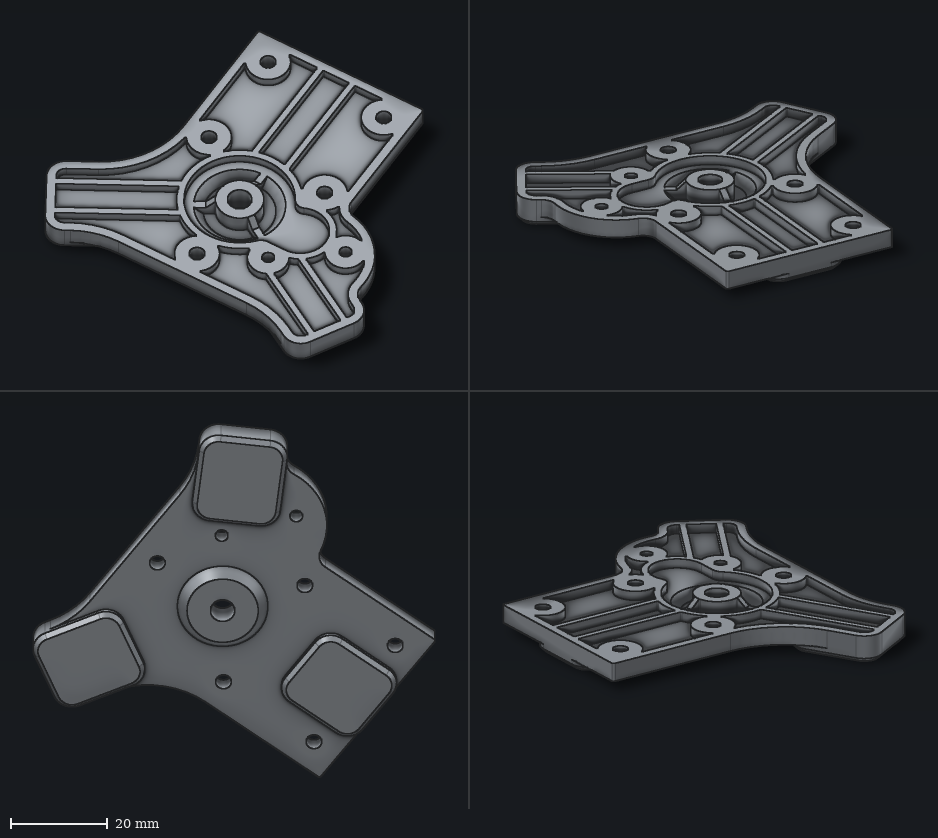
import cadquery as cq
import math

TOP_Z = 6.0
PLATE_BOTTOM_Z = 2.0
POCKET_FLOOR_Z = 4.0
DISH_FLOOR_Z = 2.0
PLATE_THICKNESS = TOP_Z - PLATE_BOTTOM_Z
POCKET_DEPTH = TOP_Z - POCKET_FLOOR_Z

ARM_ANGLES = (90, 210, 330)
ARM_REACH = 40.0
ARM_HALF_WIDTH = 9.15
ARM_CORNER_RADIUS = 4.0
PANEL_HALF_WIDTH = 20.0
PANEL_CORNER_RADIUS = 0.5
BOTTOM_EDGE_Y = -22.6
SWEEP_RADIUS = 20.0
MOTOR_LOBE_CENTRE = (19.5, -5.2)
MOTOR_LOBE_RADIUS = 14.0
MOTOR_LOBE_BLEND = 3.0
RIM_WIDTH = 2.0

PAD_LENGTH = 20.0
PAD_CHAMFER = 1.0

RIB_INNER_OFFSET = 3.1
RIB_WIDTH = 1.45
SCREW_POINTS = ((-14, 34), (14, 34), (-14, 10.7), (14, 10.7), (0, -16.8))
SCREW_HOLE_DIAMETER = 3.2
SCREW_BOSS_RADIUS = 4.65
MOTOR_SCREW_POINTS = ((25.9, -0.4), (13.05, -10.0))
MOTOR_HOLE_DIAMETER = 2.6
MOTOR_BOSS_RADIUS = 4.3
POCKET_CORNER_RADIUS = 0.2
SMALLEST_POCKET_VOLUME = 10.0

GEAR_RECESS_RADIUS = 11.5
PINION_CENTRE = (15.0, -0.5)
PINION_RECESS_RADIUS = 6.0
RECESS_WALL = 1.5
RECESS_BLEND = 2.0
STRAIGHT_SIDE_BLEND = 3.0
BORE_DIAMETER = 5.0
HUB_RADIUS = 5.0
DISH_TOP_RADIUS = 9.5
DISH_FLOOR_RADIUS = 7.5
DISH_OUTER_TOP_RADIUS = 9.35
DISH_OUTER_BOTTOM_RADIUS = 7.35
SPOKE_WIDTH = 1.65
HUB_JOINT_RADIUS = 0.2
SPOKE_RISE = TOP_Z - POCKET_FLOOR_Z


def disc(centre, radius, bottom, height):
    return cq.Workplane("XY", origin=(*centre, bottom)).circle(radius).extrude(height)


def cone(bottom_radius, top_radius, bottom, height):
    return cq.Workplane(cq.Solid.makeCone(bottom_radius, top_radius, height, cq.Vector(0, 0, bottom)))


def turned(shape, angle):
    return shape.rotate((0, 0, 0), (0, 0, 1), angle)


def arm_point(along, across):
    """Point on the right-hand arm, from distances along and to the left of its axis."""
    angle = math.radians(ARM_ANGLES[2])
    return (
        along * math.cos(angle) - across * math.sin(angle),
        along * math.sin(angle) + across * math.cos(angle),
    )


def flank_y(x, side):
    """Height of a right-hand arm flank at x; side is 1 for the upper flank and -1 for the lower."""
    angle = math.radians(ARM_ANGLES[2])
    return x * math.tan(angle) + side * ARM_HALF_WIDTH / math.cos(angle)


def mirrored(point):
    return (-point[0], point[1])


def round_corner(body, point, radius):
    """Round the upright edge nearest a point of the plan."""
    middle = (*point, (PLATE_BOTTOM_Z + TOP_Z) / 2)
    return body.edges("|Z").edges(cq.selectors.NearestToPointSelector(middle)).fillet(radius)


def make_outline():
    """Solid plate: panel, two arms and the motor lobe, with every blend."""
    shoulder = (PANEL_HALF_WIDTH, flank_y(PANEL_HALF_WIDTH, 1))
    upper_tip = arm_point(ARM_REACH, ARM_HALF_WIDTH)
    lower_tip = arm_point(ARM_REACH, -ARM_HALF_WIDTH)
    bottom_x = (BOTTOM_EDGE_Y - flank_y(0, -1)) / math.tan(math.radians(ARM_ANGLES[2]))
    bottom_corner = (bottom_x, BOTTOM_EDGE_Y)
    right_side = [(PANEL_HALF_WIDTH, ARM_REACH), shoulder, upper_tip, lower_tip, bottom_corner]
    left_side = [mirrored(point) for point in reversed(right_side)]
    plate = (
        cq.Workplane("XY", origin=(0, 0, PLATE_BOTTOM_Z))
        .polyline(right_side + left_side)
        .close()
        .extrude(PLATE_THICKNESS)
    )
    for corner in (right_side[0], left_side[-1]):
        plate = round_corner(plate, corner, PANEL_CORNER_RADIUS)
    for tip in (upper_tip, lower_tip):
        plate = round_corner(plate, tip, ARM_CORNER_RADIUS)
        plate = round_corner(plate, mirrored(tip), ARM_CORNER_RADIUS)
    plate = round_corner(plate, bottom_corner, SWEEP_RADIUS)
    plate = round_corner(plate, mirrored(bottom_corner), SWEEP_RADIUS)
    plate = round_corner(plate, mirrored(shoulder), SWEEP_RADIUS)

    plate = plate.union(disc(MOTOR_LOBE_CENTRE, MOTOR_LOBE_RADIUS, PLATE_BOTTOM_Z, PLATE_THICKNESS))
    lobe_x, lobe_y = MOTOR_LOBE_CENTRE
    panel_notch = (
        PANEL_HALF_WIDTH,
        lobe_y + math.sqrt(MOTOR_LOBE_RADIUS**2 - (PANEL_HALF_WIDTH - lobe_x) ** 2),
    )
    angle = math.radians(ARM_ANGLES[2])
    lobe_along = lobe_x * math.cos(angle) + lobe_y * math.sin(angle)
    lobe_across = lobe_y * math.cos(angle) - lobe_x * math.sin(angle)
    half_chord = math.sqrt(MOTOR_LOBE_RADIUS**2 - (ARM_HALF_WIDTH - lobe_across) ** 2)
    arm_notch = arm_point(lobe_along + half_chord, ARM_HALF_WIDTH)
    plate = round_corner(plate, panel_notch, MOTOR_LOBE_BLEND)
    return round_corner(plate, arm_notch, MOTOR_LOBE_BLEND)


def make_foot_pad(angle):
    """Rounded pad under the end of an arm, chamfered around its bottom."""
    pad = (
        cq.Workplane("XY")
        .center(ARM_REACH - PAD_LENGTH / 2, 0)
        .rect(PAD_LENGTH, 2 * ARM_HALF_WIDTH)
        .extrude(PLATE_BOTTOM_Z)
        .edges("|Z")
        .fillet(ARM_CORNER_RADIUS)
        .faces("<Z")
        .chamfer(PAD_CHAMFER)
    )
    return turned(pad, angle)


def make_rib_pair(angle):
    """Two parallel ribs running from the hub to the end of an arm."""
    rib_offset = RIB_INNER_OFFSET + RIB_WIDTH / 2
    ribs = (
        cq.Workplane("XY", origin=(ARM_REACH / 2, 0, POCKET_FLOOR_Z))
        .pushPoints([(0, rib_offset), (0, -rib_offset)])
        .rect(ARM_REACH, RIB_WIDTH)
        .extrude(POCKET_DEPTH)
    )
    return turned(ribs, angle)


def make_pockets(outline):
    """Lightening pockets: the plan inside the rim, less ribs, bosses and recess walls."""
    pockets = (
        outline.faces(">Z")
        .wires()
        .toPending()
        .workplane()
        .offset2D(-RIM_WIDTH)
        .extrude(-POCKET_DEPTH, combine=False)
    )
    for angle in ARM_ANGLES:
        pockets = pockets.cut(make_rib_pair(angle))
    islands = [(point, SCREW_BOSS_RADIUS) for point in SCREW_POINTS]
    islands += [(point, MOTOR_BOSS_RADIUS) for point in MOTOR_SCREW_POINTS]
    islands.append(((0, 0), GEAR_RECESS_RADIUS + RECESS_WALL))
    islands.append((PINION_CENTRE, PINION_RECESS_RADIUS + RECESS_WALL))
    for centre, radius in islands:
        pockets = pockets.cut(disc(centre, radius, POCKET_FLOOR_Z, POCKET_DEPTH))
    open_pockets = [pocket for pocket in pockets.solids().vals() if pocket.Volume() > SMALLEST_POCKET_VOLUME]
    return cq.Workplane("XY").newObject(open_pockets)


def make_gear_recess():
    """Round recess for the gear, joined to a smaller one for the pinion."""
    pinion_x, pinion_y = PINION_CENTRE
    recess = disc((0, 0), GEAR_RECESS_RADIUS, POCKET_FLOOR_Z, POCKET_DEPTH)
    recess = recess.union(disc(PINION_CENTRE, PINION_RECESS_RADIUS, POCKET_FLOOR_Z, POCKET_DEPTH))
    straight_side = cq.Workplane("XY").box(
        pinion_x, PINION_RECESS_RADIUS, POCKET_DEPTH, centered=False
    ).translate((0, pinion_y - PINION_RECESS_RADIUS, POCKET_FLOOR_Z))
    recess = recess.union(straight_side)

    pinion_angle = math.atan2(pinion_y, pinion_x)
    spacing = math.hypot(pinion_x, pinion_y)
    reach = (spacing**2 + GEAR_RECESS_RADIUS**2 - PINION_RECESS_RADIUS**2) / (2 * spacing)
    upper_angle = pinion_angle + math.acos(reach / GEAR_RECESS_RADIUS)
    upper_notch = (
        GEAR_RECESS_RADIUS * math.cos(upper_angle),
        GEAR_RECESS_RADIUS * math.sin(upper_angle),
    )
    side_y = pinion_y - PINION_RECESS_RADIUS
    lower_notch = (math.sqrt(GEAR_RECESS_RADIUS**2 - side_y**2), side_y)
    recess = round_corner(recess, upper_notch, RECESS_BLEND)
    return round_corner(recess, lower_notch, STRAIGHT_SIDE_BLEND)


def make_spoke(angle):
    """Radial web across the dish, rising as a buttress to the top of the hub."""
    foot = HUB_RADIUS + SPOKE_RISE
    spoke = (
        cq.Workplane("XZ", origin=(0, SPOKE_WIDTH / 2, 0))
        .polyline(
            [
                (0, DISH_FLOOR_Z),
                (DISH_FLOOR_RADIUS, DISH_FLOOR_Z),
                (DISH_TOP_RADIUS, POCKET_FLOOR_Z),
                (foot, POCKET_FLOOR_Z),
                (HUB_RADIUS, TOP_Z),
                (0, TOP_Z),
            ]
        )
        .close()
        .extrude(SPOKE_WIDTH)
    )
    return turned(spoke, angle)


def make_hub():
    """Hub with its three spokes, blended along their upright joints."""
    hub = disc((0, 0), HUB_RADIUS, DISH_FLOOR_Z, TOP_Z - DISH_FLOOR_Z)
    for angle in ARM_ANGLES:
        hub = hub.union(make_spoke(angle))
    joint_x = math.sqrt(HUB_RADIUS**2 - (SPOKE_WIDTH / 2) ** 2)
    for angle in ARM_ANGLES:
        for side in (1, -1):
            turn = math.radians(angle) + side * math.atan2(SPOKE_WIDTH / 2, joint_x)
            joint = (HUB_RADIUS * math.cos(turn), HUB_RADIUS * math.sin(turn))
            hub = round_corner(hub, joint, HUB_JOINT_RADIUS)
    return hub


def make_holes(points, diameter):
    return cq.Workplane("XY").pushPoints(points).circle(diameter / 2).extrude(TOP_Z)


def make_mount():
    outline = make_outline()
    mount = outline
    for pocket in make_pockets(outline).vals():
        mount = mount.cut(cq.Workplane(pocket).edges("|Z").fillet(POCKET_CORNER_RADIUS))
    mount = mount.cut(make_gear_recess())
    for angle in ARM_ANGLES:
        mount = mount.union(make_foot_pad(angle))

    mount = mount.union(cone(DISH_OUTER_BOTTOM_RADIUS, DISH_OUTER_TOP_RADIUS, 0, PLATE_BOTTOM_Z))
    dish_depth = POCKET_FLOOR_Z - DISH_FLOOR_Z
    mount = mount.cut(cone(DISH_FLOOR_RADIUS, DISH_TOP_RADIUS, DISH_FLOOR_Z, dish_depth))
    mount = mount.union(make_hub())

    mount = mount.cut(make_holes([(0, 0)], BORE_DIAMETER))
    mount = mount.cut(make_holes(SCREW_POINTS, SCREW_HOLE_DIAMETER))
    return mount.cut(make_holes(MOTOR_SCREW_POINTS, MOTOR_HOLE_DIAMETER))


mount = make_mount()
result = cq.Compound.makeCompound([mount.val()])